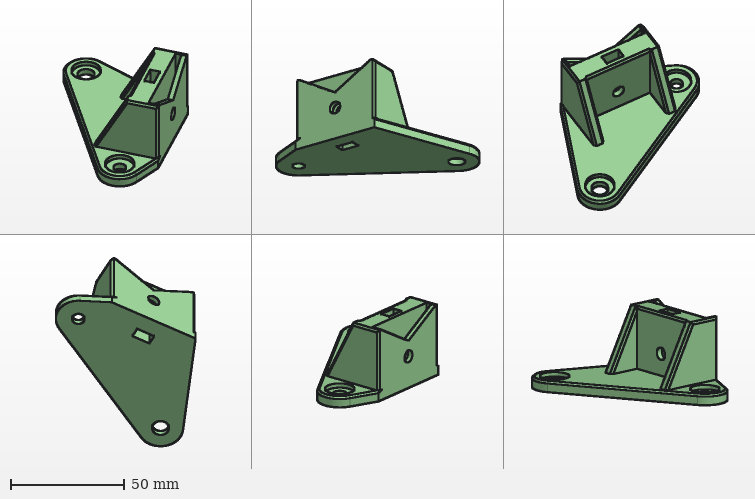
import cadquery as cq
import math

HEIGHT = 33.39
PLATE_THICKNESS = 5.0
EDGE_CHAMFER = 1.0

LUG_RADIUS = 10.0
LARGE_LUG = (-50.49, 30.55)
SMALL_LUG = (-15.0, -29.63)
LARGE_HOLE_DIAMETER = 7.5
SMALL_HOLE_DIAMETER = 5.5
COUNTERBORE_DIAMETER = 13.0
COUNTERBORE_DEPTH = 2.0

BRACKET_WIDTH = 42.0
RIB_THICKNESS = 5.0
RIB_FOOT_X = -30.0
WALL_FRONT_X = -15.0

SLOT_FRONT_X = -5.1
SLOT_SIDE_WALL = 2.0
LIP_THICKNESS = 2.5
SLOT_WIDTH = BRACKET_WIDTH - 2 * SLOT_SIDE_WALL
LIP_SLOPE_DEGREES = 30.0

SCREW_DIAMETER = 5.5
SCREW_HEIGHT = 15.0
NUT_CENTRE_X = -9.75
NUT_THICKNESS = 4.5
NUT_WIDTH = 8.5

HALF_WIDTH = BRACKET_WIDTH / 2
BAY_HALF_WIDTH = HALF_WIDTH - RIB_THICKNESS
BRACKET_HEIGHT = HEIGHT - PLATE_THICKNESS


def lug_point(lug, angle):
    """Point on the rim of a lug at an angle in radians."""
    return (lug[0] + LUG_RADIUS * math.cos(angle), lug[1] + LUG_RADIUS * math.sin(angle))


def tangent_angle(lug, corner, side):
    """Angle on a lug where the tangent from a corner touches; side is +1 or -1."""
    dx = corner[0] - lug[0]
    dy = corner[1] - lug[1]
    return math.atan2(dy, dx) + side * math.acos(LUG_RADIUS / math.hypot(dx, dy))


def make_plate():
    """Plate outline with a chamfered top rim."""
    top_corner = (0, HALF_WIDTH)
    bottom_corner = (0, -HALF_WIDTH)
    large_start = tangent_angle(LARGE_LUG, top_corner, 1)
    small_end = tangent_angle(SMALL_LUG, bottom_corner, -1)
    long_edge = math.atan2(SMALL_LUG[1] - LARGE_LUG[1], SMALL_LUG[0] - LARGE_LUG[0]) - math.pi / 2
    large_middle = (large_start + long_edge + 2 * math.pi) / 2
    small_middle = (long_edge + small_end) / 2
    plate = (
        cq.Workplane("XY")
        .moveTo(*top_corner)
        .lineTo(*lug_point(LARGE_LUG, large_start))
        .threePointArc(lug_point(LARGE_LUG, large_middle), lug_point(LARGE_LUG, long_edge))
        .lineTo(*lug_point(SMALL_LUG, long_edge))
        .threePointArc(lug_point(SMALL_LUG, small_middle), lug_point(SMALL_LUG, small_end))
        .lineTo(*bottom_corner)
        .close()
        .extrude(PLATE_THICKNESS)
    )
    return plate.faces(">Z").edges("not >X").chamfer(EDGE_CHAMFER)


def chamfer_edge_near(body, point):
    """Chamfer the one edge whose middle lies nearest to a point."""
    return body.edges(cq.selectors.NearestToPointSelector(point)).chamfer(EDGE_CHAMFER)


def make_bracket():
    """Sloping block with its outer side edges chamfered and the bay between the ribs cut out."""
    block = (
        cq.Workplane("XZ", origin=(0, HALF_WIDTH, PLATE_THICKNESS))
        .moveTo(0, 0)
        .lineTo(RIB_FOOT_X, 0)
        .lineTo(WALL_FRONT_X, BRACKET_HEIGHT)
        .lineTo(0, BRACKET_HEIGHT)
        .close()
        .extrude(BRACKET_WIDTH)
    )
    block = block.faces("<Y or >Y").edges("not <Z").chamfer(EDGE_CHAMFER)
    bay_length = WALL_FRONT_X - RIB_FOOT_X
    bay = (
        cq.Workplane("XY", origin=(RIB_FOOT_X, 0, PLATE_THICKNESS))
        .box(bay_length, 2 * BAY_HALF_WIDTH, BRACKET_HEIGHT, centered=(False, True, False))
    )
    block = block.cut(bay)
    slope_middle_x = (RIB_FOOT_X + WALL_FRONT_X) / 2
    slope_middle_z = (PLATE_THICKNESS + HEIGHT) / 2
    for side in (-1, 1):
        block = chamfer_edge_near(block, (slope_middle_x, side * BAY_HALF_WIDTH, slope_middle_z))
    return chamfer_edge_near(block, (WALL_FRONT_X, 0, HEIGHT))


def make_slot():
    """Cutter for the slot down to the plate and the V notch in the lip behind it."""
    slot = (
        cq.Workplane("XY", origin=(SLOT_FRONT_X, 0, PLATE_THICKNESS))
        .box(-SLOT_FRONT_X - LIP_THICKNESS, SLOT_WIDTH, BRACKET_HEIGHT, centered=(False, True, False))
    )
    v_depth = SLOT_WIDTH / 2 * math.tan(math.radians(LIP_SLOPE_DEGREES))
    v_notch = (
        cq.Workplane("YZ", origin=(-LIP_THICKNESS, 0, HEIGHT))
        .polyline([(-SLOT_WIDTH / 2, 0), (0, -v_depth), (SLOT_WIDTH / 2, 0)])
        .close()
        .extrude(LIP_THICKNESS)
    )
    return slot.union(v_notch)


def make_screw_hole():
    """Cutter along X through the lip and the cross wall."""
    return (
        cq.Workplane("YZ", origin=(0, 0, SCREW_HEIGHT))
        .circle(SCREW_DIAMETER / 2)
        .extrude(RIB_FOOT_X)
    )


def make_nut_pocket():
    """Vertical rectangular cutter through the cross wall and the plate."""
    return (
        cq.Workplane("XY", origin=(NUT_CENTRE_X, 0, 0))
        .rect(NUT_THICKNESS, NUT_WIDTH)
        .extrude(HEIGHT)
    )


def cut_mounting_hole(body, lug, diameter):
    """Counterbored screw hole through the plate at the centre of a lug."""
    top_plane = cq.Workplane("XY", origin=(lug[0], lug[1], PLATE_THICKNESS))
    return body.copyWorkplane(top_plane).cboreHole(diameter, COUNTERBORE_DIAMETER, COUNTERBORE_DEPTH)


plate = cut_mounting_hole(make_plate(), LARGE_LUG, LARGE_HOLE_DIAMETER)
plate = cut_mounting_hole(plate, SMALL_LUG, SMALL_HOLE_DIAMETER)
body = plate.union(make_bracket())
result = body.cut(make_slot()).cut(make_screw_hole()).cut(make_nut_pocket())